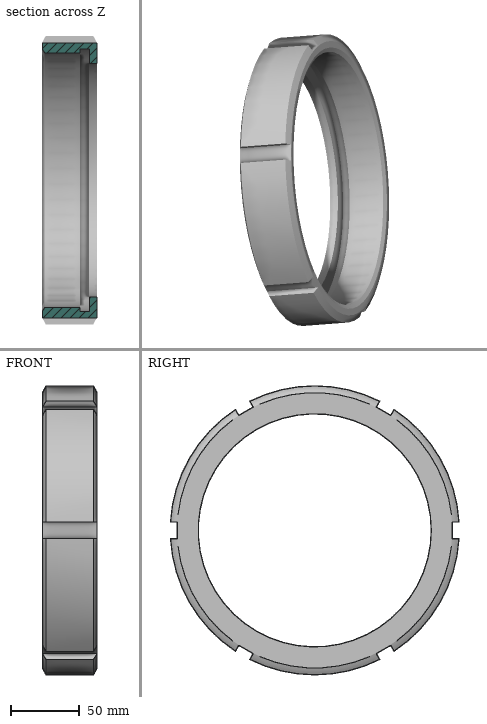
import cadquery as cq

outer_diameter = 210.0
width = 40.0
half_width = width / 2

bevel_depth = 5.0
bevel_length = 2.7

slot_count = 6
slot_width = 12.0
slot_depth = bevel_depth

bore_diameter = 184.4
mouth_diameter = 190.5
mouth_chamfer_length = 1.7
groove_diameter = mouth_diameter
groove_width = 6.3
lip_diameter = 169.0
lip_thickness = 5.9


def ring_body():
    """Revolve the ring's cross-section, drawn as (x, radius), about X."""
    outer_radius = outer_diameter / 2
    rim_radius = outer_radius - bevel_depth
    lip_face = half_width - lip_thickness
    groove_start = lip_face - groove_width
    profile = [
        (-half_width, mouth_diameter / 2),
        (-half_width, rim_radius),
        (-half_width + bevel_length, outer_radius),
        (half_width - bevel_length, outer_radius),
        (half_width, rim_radius),
        (half_width, lip_diameter / 2),
        (lip_face, lip_diameter / 2),
        (lip_face, groove_diameter / 2),
        (groove_start, groove_diameter / 2),
        (groove_start, bore_diameter / 2),
        (-half_width + mouth_chamfer_length, bore_diameter / 2),
    ]
    return cq.Workplane("XY").polyline(profile).close().revolve(360, (0, 0, 0), (1, 0, 0))


def slot_cutter(angle):
    """Flat-bottomed slot across the full width, turned about X from +Y."""
    cutter_height = 2 * slot_depth
    cutter = cq.Workplane("XY").box(width, cutter_height, slot_width)
    return cutter.translate((0, outer_diameter / 2, 0)).rotate((0, 0, 0), (1, 0, 0), angle)


result = ring_body()
for index in range(slot_count):
    result = result.cut(slot_cutter(index * 360 / slot_count))